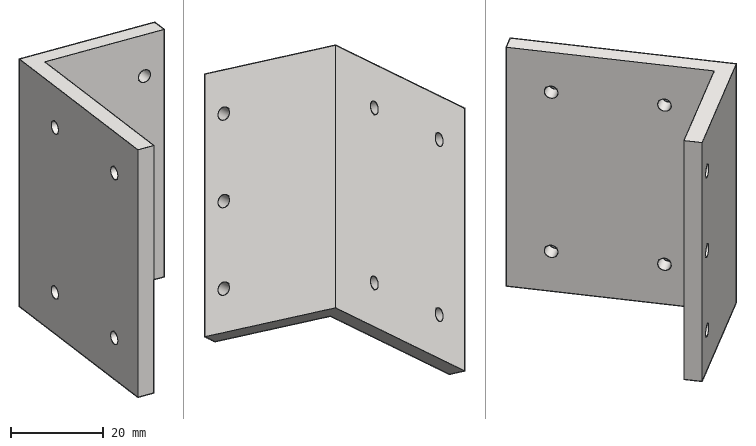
import cadquery as cq

width = 50.0
depth = 34.0
height = 60.0
thickness = 4.0

hole_diameter = 3.0
hole_end_margin = 10.0
front_hole_offset = 15.0
front_hole_spacing = 25.0
side_hole_margin = 5.0

low_z = hole_end_margin
middle_z = height / 2
high_z = height - hole_end_margin


def make_plate(size_x, size_y):
    """Upright plate with its outer corner on the origin."""
    return cq.Workplane("XY").box(size_x, size_y, height, centered=False)


def make_drills(plane, points, length):
    """Cylinders starting at the outer corner plane and running into the part."""
    return cq.Workplane(plane).pushPoints(points).circle(hole_diameter / 2).extrude(length)


body = make_plate(width, thickness).union(make_plate(thickness, depth))

front_columns = [front_hole_offset, front_hole_offset + front_hole_spacing]
front_points = [(x, z) for x in front_columns for z in (low_z, high_z)]
front_drills = make_drills("XZ", front_points, -thickness)

side_points = [(depth - side_hole_margin, z) for z in (low_z, middle_z, high_z)]
side_drills = make_drills("YZ", side_points, thickness)

result = body.cut(front_drills).cut(side_drills)